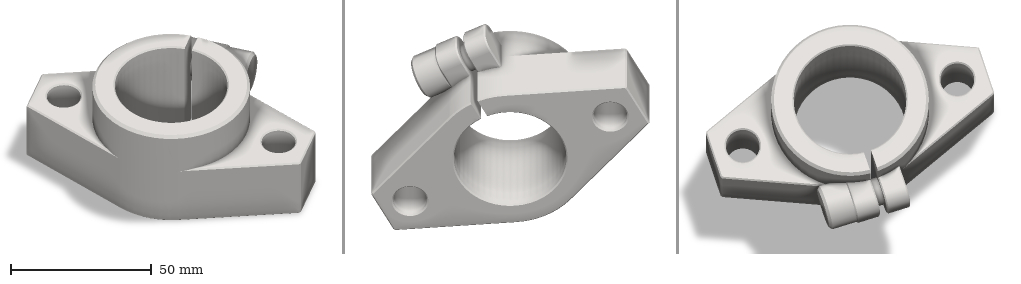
import cadquery as cq
import math

ring_diameter = 56.0
ring_radius = ring_diameter / 2
ring_height = 40.0
bore_diameter = 40.0
slot_width = 2.7
ring_top_chamfer = 1.0
edge_chamfer = 0.5

flange_length = 102.0
flange_thickness = 24.0
flange_end_width = 18.0
mount_hole_pitch = 80.0
mount_hole_diameter = 12.0

lug_span = 20.0
lug_height = 14.0
lug_center_z = flange_thickness
lug_corner_radius = 5.0
overall_depth = 67.0
lug_outer_y = overall_depth - ring_radius
lug_root_y = 23.5

screw_y = 30.9
shank_diameter = 10.0
shank_engagement = 5.0
head_diameter = 16.0
head_length = 10.0
head_chamfer = 1.0

lug_outer_x = lug_span / 2
shank_tip_x = -slot_width / 2 - shank_engagement


def x_cylinder(diameter, x_start, x_end):
    """Cylinder along X on the screw axis."""
    plane = cq.Plane(origin=(x_start, screw_y, lug_center_z), xDir=(0, 1, 0), normal=(1, 0, 0))
    return cq.Workplane(plane).circle(diameter / 2).extrude(x_end - x_start)


def chamfered_hole(x, diameter, height):
    """Cutter for a vertical through hole with a chamfer at both ends."""
    radius = diameter / 2
    mouth = radius + edge_chamfer
    profile = [
        (0, 0),
        (mouth, 0),
        (radius, edge_chamfer),
        (radius, height - edge_chamfer),
        (mouth, height),
        (0, height),
    ]
    cutter = cq.Workplane("XZ").polyline(profile).close().revolve(360, (0, 0, 0), (0, 1, 0))
    return cutter.translate((x, 0, 0))


def make_flange():
    """Diamond plate whose flanks run tangent to the ring, cut straight inside the ring."""
    end_x = flange_length / 2
    end_y = flange_end_width / 2
    tangent_angle = math.atan2(end_y, end_x) + math.acos(ring_radius / math.hypot(end_x, end_y))
    tangent_x = ring_radius * math.cos(tangent_angle)
    tangent_y = ring_radius * math.sin(tangent_angle)
    flange = (
        cq.Workplane("XY")
        .moveTo(end_x, -end_y)
        .lineTo(end_x, end_y)
        .lineTo(tangent_x, tangent_y)
        .lineTo(-tangent_x, tangent_y)
        .lineTo(-end_x, end_y)
        .lineTo(-end_x, -end_y)
        .lineTo(-tangent_x, -tangent_y)
        .lineTo(tangent_x, -tangent_y)
        .close()
        .extrude(flange_thickness)
    )
    flange = flange.edges("|Z and >X").chamfer(edge_chamfer)
    flange = flange.edges("|Z and <X").edges(">Y").chamfer(edge_chamfer)
    return flange.faces(">Z").edges("not(>Y or <Y)").chamfer(edge_chamfer)


def make_ring():
    ring = cq.Workplane("XY").circle(ring_radius).extrude(ring_height)
    return ring.faces(">Z").chamfer(ring_top_chamfer)


def make_lug(x_start):
    """One clamp ear with rounded outer corners and chamfered rims."""
    lug_length = (lug_span - slot_width) / 2
    lug_depth = lug_outer_y - lug_root_y
    lug = cq.Workplane("XY").box(lug_length, lug_depth, lug_height, centered=(False, False, True))
    lug = lug.edges("|X and >Y").fillet(lug_corner_radius)
    lug = lug.faces("<X or >X").chamfer(edge_chamfer)
    return lug.translate((x_start, lug_root_y, lug_center_z))


def make_housing():
    housing = make_flange().union(make_ring())
    housing = housing.faces("<Z").chamfer(edge_chamfer)
    for x_start in (-lug_outer_x, slot_width / 2):
        housing = housing.union(make_lug(x_start))

    housing = housing.cut(chamfered_hole(0, bore_diameter, ring_height))
    for side in (-1, 1):
        hole_x = side * mount_hole_pitch / 2
        housing = housing.cut(chamfered_hole(hole_x, mount_hole_diameter, flange_thickness))

    slot = cq.Workplane("XY").box(slot_width, lug_outer_y, ring_height, centered=(True, False, False))
    housing = housing.cut(slot)

    housing = housing.cut(x_cylinder(shank_diameter, shank_tip_x, lug_outer_x))
    return housing.cut(x_cylinder(head_diameter, lug_outer_x, lug_outer_x + head_length))


def make_screw():
    head = x_cylinder(head_diameter, lug_outer_x, lug_outer_x + head_length)
    head = head.faces(">X").chamfer(head_chamfer)
    return head.union(x_cylinder(shank_diameter, shank_tip_x, lug_outer_x))


housing = make_housing()
clamp_screw = make_screw()

result = cq.Compound.makeCompound([housing.val(), clamp_screw.val()])